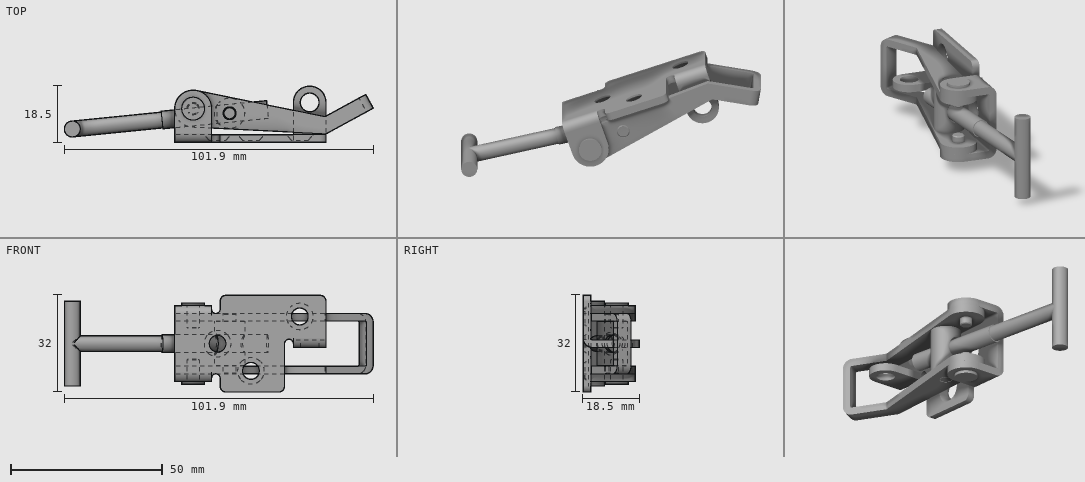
import cadquery as cq
import math


OVERALL_LENGTH = 101.9

SHEET = 2.5
INNER_BEND = 0.5
OUTER_BEND = SHEET + INNER_BEND
EAR_OUTER_Z = 12.5
EAR_INNER_Z = EAR_OUTER_Z - SHEET
ARM_OUTER_Z = EAR_INNER_Z
ARM_INNER_Z = ARM_OUTER_Z - SHEET

EAR_RADIUS = 6.1
RIVET_Y = 11.1
PLATE_LEFT = 8.9
PLATE_STEP = 30.2
PLATE_RIGHT = 43.8
PLATE_HALF_HEIGHT = 16.0
PLATE_CORNER = 2.0
SCREW_HOLE_RADIUS = 2.8
SCREW_SINK_RADIUS = 4.4
SCREW_SINK_DEPTH = 1.9
SCREW_HOLES_XZ = [(8.0, 0), (19.0, -9.0), (35.1, 9.0)]
TAB_RADIUS = 5.4
TAB_X = PLATE_RIGHT - TAB_RADIUS
TAB_LEFT = TAB_X - TAB_RADIUS
TAB_TOP_Y = 18.5
TAB_EYE_Y = TAB_TOP_Y - TAB_RADIUS
TAB_EYE_RADIUS = 3.1
TAB_OUTER_Z = -SHEET / 2

CROSSBAR_X = -39.8
CROSSBAR_Y = 4.4
CROSSBAR_RADIUS = 2.6
CROSSBAR_LENGTH = 28.0
SHANK_RADIUS = 2.6
SHANK_LENGTH = 29.7
THREAD_RADIUS = 3.0
BOLT_LENGTH = 64.7

BARREL_X = 12.0
BARREL_Y = 9.6
BARREL_RADIUS = 5.0
BARREL_HALF_LENGTH = 7.2
TRUNNION_RADIUS = 2.1
TRUNNION_CHAMFER = 0.3
COUNTERSINK_RADIUS = 3.8
BOLT_TILT = math.degrees(math.atan2(BARREL_Y - CROSSBAR_Y, BARREL_X - CROSSBAR_X))

NOSE_RADIUS = EAR_RADIUS
ELBOW_TOP = (43.4, 8.5)
ELBOW_BOTTOM = (43.8, 2.8)
GRIP_ANGLE = 28.6
GRIP_TIP_X = CROSSBAR_X - CROSSBAR_RADIUS + OVERALL_LENGTH

RIVET_RADIUS = 2.0
RIVET_INNER_Z = 5.1
RIVET_END_CHAMFER = 0.3
RIVET_HEAD_RADIUS = 3.8
RIVET_HEAD_HEIGHT = 0.9


def cylinder_z(x, y, radius, z_start, z_end):
    """Round bar parallel to Z."""
    return cq.Workplane("XY", origin=(x, y, z_start)).circle(radius).extrude(z_end - z_start)


def cylinder_y(x, z, radius, length):
    """Round bar parallel to Y, starting at Y = 0."""
    return cq.Workplane("XZ", origin=(x, 0, z)).circle(radius).extrude(-length)


def box_between(low, high):
    """Box from its two opposite corners."""
    sizes = [end - start for start, end in zip(low, high)]
    return cq.Workplane("XY").box(*sizes, centered=False).translate(low)



def make_ear_channel():
    """U-channel whose two round-topped ears carry the rivets."""
    channel = box_between((-EAR_RADIUS, 0, -EAR_OUTER_Z), (EAR_RADIUS, RIVET_Y, EAR_OUTER_Z))
    channel = channel.edges("|X and <Y").fillet(OUTER_BEND)
    channel = channel.union(cylinder_z(0, RIVET_Y, EAR_RADIUS, -EAR_OUTER_Z, EAR_OUTER_Z))
    opening = box_between(
        (-EAR_RADIUS, SHEET, -EAR_INNER_Z),
        (EAR_RADIUS, RIVET_Y + EAR_RADIUS, EAR_INNER_Z),
    )
    opening = opening.edges("|X and <Y").fillet(INNER_BEND)
    channel = channel.cut(opening)
    return channel.cut(cylinder_z(0, RIVET_Y, RIVET_RADIUS, -EAR_OUTER_Z, EAR_OUTER_Z))


def make_base_plate():
    """Flat plate, stepped at the lower right, with a neck that joins the ear channel."""
    full_part = box_between(
        (PLATE_LEFT, 0, -PLATE_HALF_HEIGHT), (PLATE_STEP, SHEET, PLATE_HALF_HEIGHT)
    )
    full_part = full_part.edges("|Y and (<X or (>X and <Z))").fillet(PLATE_CORNER)
    upper_part = box_between(
        (PLATE_LEFT + PLATE_CORNER, 0, TAB_OUTER_Z + OUTER_BEND),
        (PLATE_RIGHT, SHEET, PLATE_HALF_HEIGHT),
    )
    upper_part = upper_part.edges("|Y and >X and >Z").fillet(PLATE_CORNER)

    ear_relief = (PLATE_LEFT - EAR_RADIUS) / 2
    neck_half_height = EAR_INNER_Z + ear_relief
    neck = box_between(
        (EAR_RADIUS, 0, -neck_half_height), (PLATE_LEFT, SHEET, neck_half_height)
    )
    for side in (-1, 1):
        neck = neck.cut(
            cylinder_y(EAR_RADIUS + ear_relief, side * neck_half_height, ear_relief, SHEET)
        )

    tab_relief = (TAB_LEFT - PLATE_STEP) / 2
    web = box_between(
        (PLATE_STEP, 0, 0), (TAB_LEFT, SHEET, TAB_OUTER_Z + OUTER_BEND)
    )
    web = web.cut(cylinder_y(PLATE_STEP + tab_relief, 0, tab_relief, SHEET))
    return full_part.union(upper_part).union(neck).union(web)


def make_tab():
    """Upright tab with an eye, bent up from the plate's step."""
    z_inner = TAB_OUTER_Z + SHEET
    z_bend = TAB_OUTER_Z + OUTER_BEND
    outer_mid = OUTER_BEND * math.sqrt(0.5)
    inner_mid = INNER_BEND * math.sqrt(0.5)
    tab = (
        cq.Workplane("YZ", origin=(TAB_LEFT, 0, 0))
        .moveTo(0, z_bend)
        .threePointArc((OUTER_BEND - outer_mid, z_bend - outer_mid), (OUTER_BEND, TAB_OUTER_Z))
        .lineTo(TAB_EYE_Y, TAB_OUTER_Z)
        .lineTo(TAB_EYE_Y, z_inner)
        .lineTo(OUTER_BEND, z_inner)
        .threePointArc((OUTER_BEND - inner_mid, z_bend - inner_mid), (SHEET, z_bend))
        .close()
        .extrude(2 * TAB_RADIUS)
    )
    tab = tab.union(cylinder_z(TAB_X, TAB_EYE_Y, TAB_RADIUS, TAB_OUTER_Z, z_inner))
    return tab.cut(cylinder_z(TAB_X, TAB_EYE_Y, TAB_EYE_RADIUS, TAB_OUTER_Z, z_inner))


def make_screw_hole_cutter():
    """Screw hole at X = Z = 0 with a countersink on the plate's inner face."""
    return (
        cq.Workplane("XY")
        .lineTo(SCREW_HOLE_RADIUS, 0)
        .lineTo(SCREW_HOLE_RADIUS, SHEET - SCREW_SINK_DEPTH)
        .lineTo(SCREW_SINK_RADIUS, SHEET)
        .lineTo(0, SHEET)
        .close()
        .revolve(360, (0, 0, 0), (0, 1, 0))
    )


def make_bracket():
    bracket = make_ear_channel().union(make_base_plate()).union(make_tab())
    for x, z in SCREW_HOLES_XZ:
        bracket = bracket.cut(make_screw_hole_cutter().translate((x, 0, z)))
    return bracket



def nose_tangent_point(target, side):
    """Point on the nose circle where the tangent through `target` touches (side: 1 top, -1 bottom)."""
    dx = target[0]
    dy = target[1] - RIVET_Y
    angle = math.atan2(dy, dx) + side * math.acos(NOSE_RADIUS / math.hypot(dx, dy))
    return (NOSE_RADIUS * math.cos(angle), RIVET_Y + NOSE_RADIUS * math.sin(angle))


def make_lever():
    """U-shaped strap: two cranked arms joined by a cross strip at the tip of the grip."""
    angle = math.radians(GRIP_ANGLE)
    along = (math.cos(angle), math.sin(angle))
    across = (-math.sin(angle), math.cos(angle))
    length = (GRIP_TIP_X - ELBOW_BOTTOM[0]) / along[0]
    elbow = (ELBOW_TOP[0] - ELBOW_BOTTOM[0], ELBOW_TOP[1] - ELBOW_BOTTOM[1])
    width = elbow[0] * across[0] + elbow[1] * across[1]
    tip_bottom = (GRIP_TIP_X, ELBOW_BOTTOM[1] + length * along[1])
    tip_top = (tip_bottom[0] + width * across[0], tip_bottom[1] + width * across[1])

    arms = (
        cq.Workplane("XY", origin=(0, 0, -ARM_OUTER_Z))
        .moveTo(*nose_tangent_point(ELBOW_TOP, 1))
        .threePointArc((-NOSE_RADIUS, RIVET_Y), nose_tangent_point(ELBOW_BOTTOM, -1))
        .lineTo(*ELBOW_BOTTOM)
        .lineTo(*tip_bottom)
        .lineTo(*tip_top)
        .lineTo(*ELBOW_TOP)
        .close()
        .extrude(2 * ARM_OUTER_Z)
    )
    tip_plane = cq.Plane(origin=(*tip_bottom, 0), xDir=(*across, 0), normal=(*along, 0))
    tip_face = cq.selectors.DirectionMinMaxSelector(cq.Vector(*along, 0), True)
    arms = arms.faces(tip_face).edges("not |Z").fillet(OUTER_BEND)

    slot_length = OVERALL_LENGTH
    slot = (
        cq.Workplane(tip_plane)
        .workplane(offset=-SHEET - slot_length)
        .rect(slot_length, 2 * ARM_INNER_Z)
        .extrude(slot_length)
    )
    slot = slot.faces(tip_face).edges("not |Z").fillet(INNER_BEND)
    lever = arms.cut(slot)
    lever = lever.cut(cylinder_z(0, RIVET_Y, RIVET_RADIUS, -ARM_OUTER_Z, ARM_OUTER_Z))
    return lever.cut(cylinder_z(BARREL_X, BARREL_Y, TRUNNION_RADIUS, -ARM_OUTER_Z, ARM_OUTER_Z))



def make_rivet(side):
    """Headed rivet through one ear and one arm (side: 1 for +Z, -1 for -Z)."""
    shank = cylinder_z(0, RIVET_Y, RIVET_RADIUS, side * RIVET_INNER_Z, side * EAR_OUTER_Z)
    shank = shank.faces("<Z" if side > 0 else ">Z").chamfer(RIVET_END_CHAMFER)
    head_end = EAR_OUTER_Z + RIVET_HEAD_HEIGHT
    head = cylinder_z(0, RIVET_Y, RIVET_HEAD_RADIUS, side * EAR_OUTER_Z, side * head_end)
    return shank.union(head)



def bolt_workplane(distance):
    """Plane square to the bolt axis at a distance from the crossbar's axis."""
    tilt = math.radians(BOLT_TILT)
    axis = cq.Vector(math.cos(tilt), math.sin(tilt), 0)
    origin = cq.Vector(CROSSBAR_X, CROSSBAR_Y, 0) + axis * distance
    return cq.Workplane(cq.Plane(origin=origin, xDir=(0, 0, 1), normal=axis))


def make_barrel():
    """Cross barrel with chamfered trunnions and a countersunk hole for the bolt."""
    barrel = cylinder_z(
        BARREL_X, BARREL_Y, BARREL_RADIUS, -BARREL_HALF_LENGTH, BARREL_HALF_LENGTH
    )
    trunnions = cylinder_z(BARREL_X, BARREL_Y, TRUNNION_RADIUS, -ARM_OUTER_Z, ARM_OUTER_Z)
    barrel = barrel.union(trunnions.faces("<Z or >Z").chamfer(TRUNNION_CHAMFER))
    axis_distance = math.hypot(BARREL_X - CROSSBAR_X, BARREL_Y - CROSSBAR_Y)
    mouth = bolt_workplane(axis_distance - BARREL_RADIUS)
    countersink_depth = COUNTERSINK_RADIUS - THREAD_RADIUS
    countersink = (
        mouth.circle(COUNTERSINK_RADIUS)
        .workplane(offset=countersink_depth)
        .circle(THREAD_RADIUS)
        .loft()
    )
    hole = bolt_workplane(SHANK_LENGTH).circle(THREAD_RADIUS).extrude(BOLT_LENGTH - SHANK_LENGTH)
    return barrel.cut(hole).cut(countersink)


def make_bolt():
    """Threaded rod on a thinner shank that ends in a crossbar."""
    crossbar = cylinder_z(
        CROSSBAR_X, CROSSBAR_Y, CROSSBAR_RADIUS, -CROSSBAR_LENGTH / 2, CROSSBAR_LENGTH / 2
    )
    shank = bolt_workplane(0).circle(SHANK_RADIUS).extrude(SHANK_LENGTH)
    thread = bolt_workplane(SHANK_LENGTH).circle(THREAD_RADIUS).extrude(BOLT_LENGTH - SHANK_LENGTH)
    return crossbar.union(shank).union(thread)


bracket = make_bracket()
lever = make_lever()
rivets = [make_rivet(side) for side in (-1, 1)]
barrel = make_barrel()
bolt = make_bolt()

result = cq.Compound.makeCompound(
    [bracket.val(), lever.val(), *[rivet.val() for rivet in rivets], barrel.val(), bolt.val()]
)